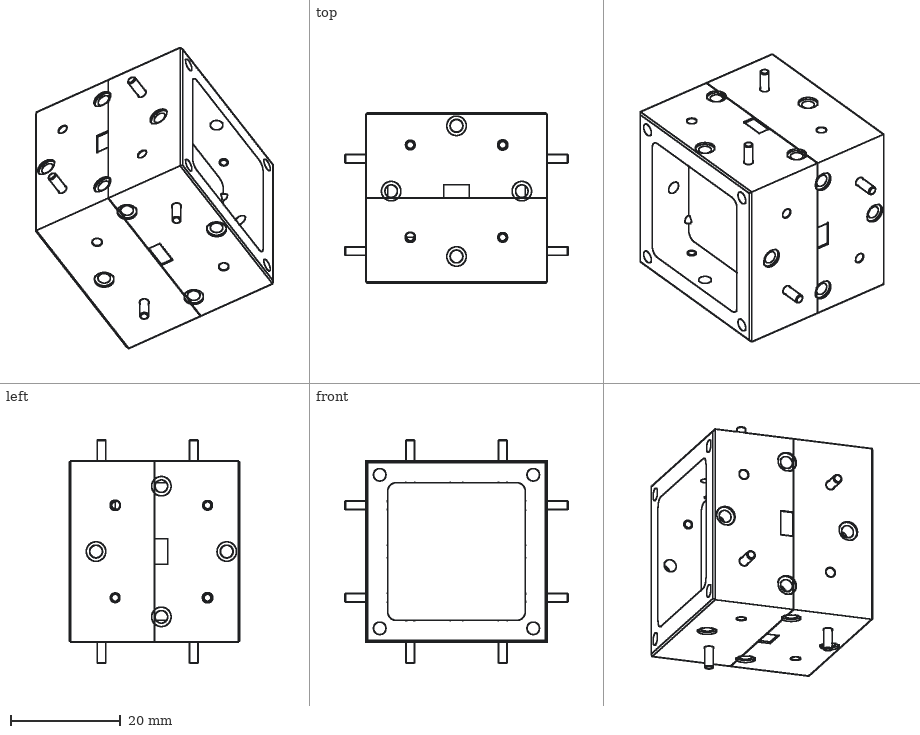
import cadquery as cq
import math

OVERALL = 40.75
BLOCK_SIDE = 33.02
BLOCK_DEPTH = 31.1
SHIM_THICKNESS = 0.1
EDGE_CHAMFER = 0.33

POCKET_SIDE = 25.07
POCKET_RADIUS = 1.55
CAVITY_FLOOR = 7.15
WEB = 2.05

CORNER_PITCH = 27.95
CORNER_DIAMETER = 2.3
CORNER_DEPTH = 6.1

GUIDE_WIDTH = 4.65
GUIDE_HEIGHT = 2.4
GUIDE_DEPTH = 0.33
BOLT_RADIUS = 11.9
SCREW_DIAMETER = 2.3
SCREW_DEPTH = 6.1
COUNTERBORE_DIAMETER = 3.55
COUNTERBORE_DEPTH = 0.4
DRILL_POINT = 118.0

PIN_DIAMETER = 1.6
PIN_CHAMFER = 0.15
MATING_DIAMETER = 1.7
PIN_HOLE_DEPTH = 4.3
MOUTH_CHAMFER = 0.1

HALF_SIDE = BLOCK_SIDE / 2
HALF_DEPTH = BLOCK_DEPTH / 2
SPLIT = SHIM_THICKNESS / 2
WALL = (BLOCK_SIDE - POCKET_SIDE) / 2
CORE_BACK = CAVITY_FLOOR - WEB
FLANGE_OFFSET = SPLIT + GUIDE_HEIGHT / 2
PIN_STEP = BOLT_RADIUS * math.sqrt(0.5)
PIN_REACH = (OVERALL - BLOCK_SIDE) / 2

TOP = ((0, 0, 1), (1, 0, 0), 1)
BOTTOM = ((0, 0, -1), (-1, 0, 0), 1)
RIGHT = ((1, 0, 0), (0, 0, -1), -1)
LEFT = ((-1, 0, 0), (0, 0, 1), -1)
FACES = [TOP, BOTTOM, RIGHT, LEFT]
PEG_FACES = [TOP, LEFT]
PIN_FACES = [BOTTOM, RIGHT]
FRONT = -1
BACK = 1



def square_prism(side, y_from, y_to):
    """Square prism centred on the Y axis, between two Y values."""
    return cq.Workplane("XZ", origin=(0, y_from, 0)).rect(side, side).extrude(y_from - y_to)


def pocket_prism(y_from, y_to):
    """Prism with the rounded outline of the pocket."""
    return square_prism(POCKET_SIDE, y_from, y_to).edges("|Y").fillet(POCKET_RADIUS)


def drilled_hole(diameter, depth):
    """Cutter for a blind hole with a conical end, going down from z = 0."""
    radius = diameter / 2
    tip = depth + radius / math.tan(math.radians(DRILL_POINT / 2))
    profile = [(0, 0), (radius, 0), (radius, -depth), (0, -tip)]
    return cq.Workplane("XZ").polyline(profile).close().revolve(360, (0, 0, 0), (0, 1, 0))


def chamfered_hole(diameter):
    """Cutter for a pin hole with a chamfered mouth."""
    mouth_radius = diameter / 2 + MOUTH_CHAMFER
    mouth = cq.Solid.makeCone(mouth_radius, diameter / 2, MOUTH_CHAMFER, dir=cq.Vector(0, 0, -1))
    return drilled_hole(diameter, PIN_HOLE_DEPTH).union(cq.Workplane(mouth))


def screw_hole():
    """Cutter for a counterbored flange screw hole."""
    counterbore = cq.Workplane("XY").circle(COUNTERBORE_DIAMETER / 2).extrude(-COUNTERBORE_DEPTH)
    return drilled_hole(SCREW_DIAMETER, SCREW_DEPTH).union(counterbore)


def place(shape, plane, x, y):
    """Move a shape built at the origin to a point of a plane."""
    return cq.Workplane(shape.val().located(plane.location * cq.Location(cq.Vector(x, y, 0))))


def flange_plane(face):
    """Plane on a side face: origin at the flange centre, x along the face, y along +Y."""
    outward, along, side = face
    origin = (outward[0] * HALF_SIDE, side * FLANGE_OFFSET, outward[2] * HALF_SIDE)
    return cq.Plane(origin=origin, xDir=along, normal=outward)



def flange_cutters(face):
    """Screw holes, pin holes, mating holes and waveguide recess of one flange."""
    plane = flange_plane(face)
    cutters = []
    for sign in (1, -1):
        step = sign * PIN_STEP
        cutters.append(place(screw_hole(), plane, sign * BOLT_RADIUS, 0))
        cutters.append(place(screw_hole(), plane, 0, sign * BOLT_RADIUS))
        cutters.append(place(chamfered_hole(MATING_DIAMETER), plane, step, step))
        cutters.append(place(chamfered_hole(PIN_DIAMETER), plane, step, -step))
    guide = cq.Workplane("XY").rect(GUIDE_WIDTH, GUIDE_HEIGHT).extrude(-GUIDE_DEPTH)
    cutters.append(place(guide, plane, 0, 0))
    return cutters


def make_pin(face, half):
    """Pin of one flange in the given half, from the inside of the wall to its outer tip."""
    body = cq.Workplane("XY", origin=(0, 0, -WALL)).circle(PIN_DIAMETER / 2).extrude(WALL + PIN_REACH)
    body = body.faces("<Z or >Z").chamfer(PIN_CHAMFER)
    return place(body, flange_plane(face), -half * PIN_STEP, half * PIN_STEP)


def cut_flanges(body):
    for face in FACES:
        for cutter in flange_cutters(face):
            body = body.cut(cutter)
    return body



def half_blank(half):
    """Outer block of one half, with the chamfered outer face and its corner screw holes."""
    outer = half * HALF_DEPTH
    blank = square_prism(BLOCK_SIDE, half * SPLIT, outer)
    blank = blank.faces("<Y" if half == FRONT else ">Y").chamfer(EDGE_CHAMFER)
    plane = cq.Plane(origin=(0, outer, 0), xDir=(1, 0, 0), normal=(0, half, 0))
    for x in (-CORNER_PITCH / 2, CORNER_PITCH / 2):
        for z in (-CORNER_PITCH / 2, CORNER_PITCH / 2):
            blank = blank.cut(place(drilled_hole(CORNER_DIAMETER, CORNER_DEPTH), plane, x, z))
    return blank


def add_pegs(body, half):
    for face in PEG_FACES:
        body = body.union(make_pin(face, half))
    return body


def make_front_half():
    """Frame with the pocket right through it."""
    frame = half_blank(FRONT).cut(pocket_prism(-HALF_DEPTH, -SPLIT))
    return add_pegs(cut_flanges(frame), FRONT)


def make_back_half():
    """Box with a seat for the core on one side of its web and an open cavity on the other."""
    box = half_blank(BACK).cut(pocket_prism(SPLIT, CORE_BACK))
    box = box.cut(pocket_prism(CAVITY_FLOOR, HALF_DEPTH))
    return add_pegs(cut_flanges(box), BACK)


def make_shim():
    """Thin frame between the halves, around the core."""
    sheet = square_prism(BLOCK_SIDE, -SPLIT, SPLIT).cut(pocket_prism(-SPLIT, SPLIT))
    return cut_flanges(sheet)


def make_core():
    """Rounded block that forms the floor of the front cavity."""
    return pocket_prism(-CAVITY_FLOOR, CORE_BACK)


front_half = make_front_half()
back_half = make_back_half()
shim = make_shim()
core = make_core()
pins = [make_pin(face, half) for face in PIN_FACES for half in (FRONT, BACK)]

result = cq.Compound.makeCompound(
    [front_half.val(), back_half.val(), shim.val(), core.val(), *[pin.val() for pin in pins]]
)